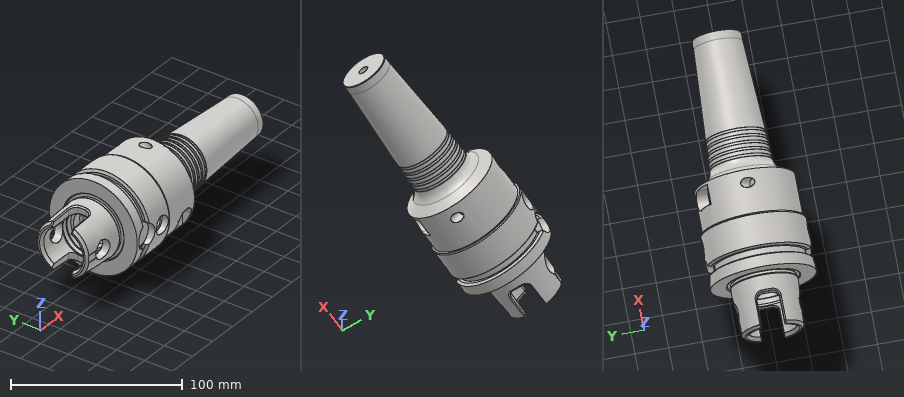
import cadquery as cq
import math

total_length = 182.0
shank_rim = 1.6
neck_start = 30.0
neck_ramp = 0.7
flange_start = 31.8
groove_start = 39.0
groove_end = 45.0
collar_end = 64.8
body_end = 91.7
nose_tip_start = 176.5

shank_front_radius = 17.0
shank_rim_radius = 18.5
shank_end_radius = 20.0
neck_radius = 19.5
face_recess_radius = 22.0
face_recess_depth = 0.5
flange_radius = 31.5
groove_radius = 28.0
body_radius = 29.8
nose_tip_radius = 14.7
groove_bevel_length = 1.0
groove_bevel_depth = 1.8
collar_bevel_length = 1.0
collar_bevel_depth = 0.4
nose_tip_bevel = 0.4

shoulder_angle = 60.0
nose_taper_angle = 3.2
taper_slope = math.tan(math.radians(nose_taper_angle))
shoulder_fillet = 8.2


def side_plane(distance):
    """Plane at Y = -distance; its local axes are X and Z and its normal points to -Y."""
    return cq.Workplane("XZ", origin=(0, -distance, 0))


def turned(outline):
    """Solid made by turning an X-radius outline about the X axis."""
    return cq.Workplane("XY").polyline(outline).close().revolve(360, (0, 0, 0), (1, 0, 0))


def both_sides(tool):
    """The tool together with its copy turned half a revolution about X."""
    return tool.union(tool.rotate((0, 0, 0), (1, 0, 0), 180))


def nose_radius(x):
    """Outside radius of the tapered nose at X = x."""
    return nose_tip_radius + taper_slope * (nose_tip_start - x)


select_margin = 0.02
shoulder_slope = math.tan(math.radians(shoulder_angle))
shoulder_foot = (body_radius + shoulder_slope * body_end - nose_radius(0)) / (shoulder_slope - taper_slope)
profile = [
    (0, 0),
    (0, shank_front_radius),
    (shank_rim, shank_rim_radius),
    (neck_start, shank_end_radius),
    (neck_start + neck_ramp, neck_radius),
    (flange_start + face_recess_depth, neck_radius),
    (flange_start + face_recess_depth, face_recess_radius - face_recess_depth),
    (flange_start, face_recess_radius),
    (flange_start, flange_radius),
    (groove_start, flange_radius),
    (groove_start + groove_bevel_length, flange_radius - groove_bevel_depth),
    (groove_start + groove_bevel_length, groove_radius),
    (groove_end - groove_bevel_length, groove_radius),
    (groove_end - groove_bevel_length, flange_radius - groove_bevel_depth),
    (groove_end, flange_radius),
    (collar_end - collar_bevel_length, flange_radius),
    (collar_end, flange_radius - collar_bevel_depth),
    (collar_end, body_radius),
    (body_end, body_radius),
    (shoulder_foot, nose_radius(shoulder_foot)),
    (nose_tip_start, nose_tip_radius),
    (total_length - nose_tip_bevel, nose_tip_radius),
    (total_length, nose_tip_radius - nose_tip_bevel),
    (total_length, 0),
]
result = turned(profile)
shoulder_edge = cq.selectors.BoxSelector(
    (body_end + select_margin, -body_radius, -body_radius),
    (nose_tip_start - select_margin, body_radius, body_radius),
    boundingbox=True)
result = result.edges(shoulder_edge).fillet(shoulder_fillet)

ring_count = 5
first_ring = 102.6
ring_span = 16.4
ring_pitch = ring_span / (ring_count - 1)
ring_width = 1.6
ring_depth = 0.27
for index in range(ring_count):
    start = first_ring + index * ring_pitch
    end = start + ring_width
    ring = turned([
        (start, nose_radius(start) - ring_depth),
        (start, shank_end_radius),
        (end, shank_end_radius),
        (end, nose_radius(end) - ring_depth),
    ])
    result = result.cut(ring)

mouth_radius = 15.7
bore_radius = 14.2
mouth_depth = 2.2
undercut_start = 21.0
undercut_end = 25.5
undercut_radius = 15.0
undercut_ramp = 1.5
pilot_start = 29.1
pilot_radius = 12.2
floor_x = 36.4
floor_radius = 10.5
floor_bevel = 1.1
countersink_radius = 5.5
through_diameter = 6.0
through_radius = through_diameter / 2
bore_profile = [
    (0, 0),
    (0, mouth_radius),
    (mouth_depth, bore_radius),
    (undercut_start, bore_radius),
    (undercut_start + undercut_ramp, undercut_radius),
    (undercut_end, undercut_radius),
    (undercut_end, bore_radius),
    (pilot_start, bore_radius),
    (pilot_start, pilot_radius),
    (floor_x - floor_bevel, pilot_radius),
    (floor_x, floor_radius),
    (floor_x, countersink_radius),
    (floor_x + countersink_radius - through_radius, through_radius),
    (total_length, through_radius),
    (total_length, 0),
]
result = result.cut(turned(bore_profile))

slot_width = 13.6
slot_end = 20.4
slot_corner = 4.0
slot_bevel = 1.0
slot = cq.Workplane("XY", origin=(0, 0, -flange_radius)).rect(2 * slot_end, slot_width)
slot = slot.extrude(2 * flange_radius).edges("|Z and >X").fillet(slot_corner)
result = result.cut(slot)
for side in (-1, 1):
    shank_edges = cq.selectors.BoxSelector(
        (shank_rim, -slot_width, side * shank_front_radius),
        (slot_end + slot_bevel, slot_width, side * flange_radius))
    rim_edges = cq.selectors.BoxSelector(
        (select_margin, -slot_width, side * mouth_radius), (shank_rim, slot_width, side * flange_radius))
    result = result.edges(shank_edges + rim_edges).chamfer(slot_bevel)

cross_hole_x = 15.0
cross_hole_diameter = 12.5
flat_width = 5.0
flat_position = 18.4
cross_hole = side_plane(-flange_radius).center(cross_hole_x, 0)
cross_hole = cross_hole.circle(cross_hole_diameter / 2).extrude(2 * flange_radius)
result = result.cut(cross_hole)
flat = side_plane(flat_position).center(cross_hole_x / 2, 0)
flat = flat.rect(cross_hole_x, flat_width).extrude(flange_radius)
result = result.cut(both_sides(flat))

grip_pocket_x = 41.5
grip_pocket_diameter = 16.0
grip_pocket_floor = 26.8
grip_pocket = side_plane(grip_pocket_floor).center(grip_pocket_x, 0)
grip_pocket = grip_pocket.circle(grip_pocket_diameter / 2).extrude(flange_radius)
result = result.cut(both_sides(grip_pocket))

collar_hole_x = 57.0
collar_hole_diameter = 12.0
collar_hole_inner_diameter = 8.5
collar_hole_depth = 4.5
collar_hole_inner_depth = 3.6
collar_hole_plane = side_plane(flange_radius - collar_hole_depth).center(collar_hole_x, 0)
collar_hole = collar_hole_plane.circle(collar_hole_diameter / 2).extrude(flange_radius)
collar_inner_hole = collar_hole_plane.circle(collar_hole_inner_diameter / 2).extrude(-collar_hole_inner_depth)
collar_hole = collar_hole.union(collar_inner_hole)
result = result.cut(both_sides(collar_hole))

screw_x = 83.9
screw_z = -9.3
pocket_width = 12.0
pocket_floor = 22.5
screw_pocket = side_plane(pocket_floor).center(screw_x, screw_z).circle(pocket_width / 2).extrude(body_radius)
screw_pocket = screw_pocket.union(
    side_plane(pocket_floor).center(screw_x, screw_z - body_radius / 2)
    .rect(pocket_width, body_radius).extrude(body_radius))

screw_top_diameter = 8.0
screw_cup_diameter = 5.0
screw_recess_depth = 2.0
screw_plane = side_plane(pocket_floor - screw_recess_depth).center(screw_x, screw_z)
screw_head = screw_plane.circle(pocket_width / 2).workplane(offset=screw_recess_depth)
screw_head = screw_head.circle(screw_top_diameter / 2).loft()
screw_cup = cq.Workplane(cq.Solid.makeCone(
    screw_cup_diameter / 2, 0, screw_cup_diameter / 2,
    cq.Vector(screw_x, -pocket_floor, screw_z), cq.Vector(0, 1, 0)))
screw_pocket = screw_pocket.union(screw_plane.circle(pocket_width / 2).extrude(screw_recess_depth))
screw_pocket = screw_pocket.cut(screw_head).union(screw_cup)
result = result.cut(both_sides(screw_pocket))

slant_diameter = 5.8
slant_angle = 45.0
slant_depth = 5.1
slant_direction = (0, math.sin(math.radians(slant_angle)), math.cos(math.radians(slant_angle)))
slant_plane = cq.Plane(origin=(screw_x, 0, body_radius), xDir=(1, 0, 0), normal=slant_direction)
slant = cq.Workplane(slant_plane).workplane(offset=-slant_depth).circle(slant_diameter / 2).extrude(body_radius)
result = result.cut(both_sides(slant))